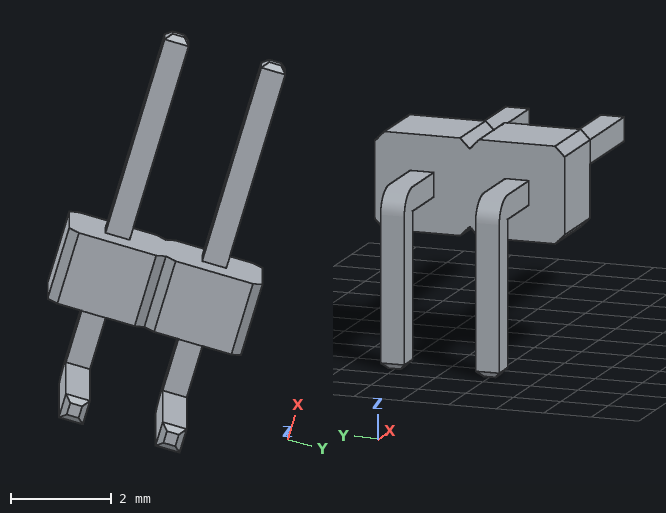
import cadquery as cq

total_length = 7.45
total_height = 4.4
total_width = 4.0

pin_count = 2
pitch = total_width / pin_count
housing_start = 1.735
housing_length = 1.5
housing_height = 2.0
cell_chamfer = 0.2

pin_size = 0.5
tip_chamfer = 0.13

leg_bottom = housing_height / 2 - total_height
pin_top = pin_size / 2
pin_bottom = -pin_size / 2


def housing_cell(y):
    """One octagonal housing cell with chamfers along its X edges."""
    return (
        cq.Workplane("XY")
        .box(housing_length, pitch, housing_height)
        .edges("|X")
        .chamfer(cell_chamfer)
        .translate((housing_start + housing_length / 2, y, 0))
    )


def bent_pin(y):
    """Right-angle pin, rounded outside the bend and tapered at both tips."""
    profile = (
        cq.Workplane("XZ")
        .moveTo(0, leg_bottom)
        .lineTo(0, pin_bottom)
        .radiusArc((pin_size, pin_top), pin_size)
        .lineTo(total_length, pin_top)
        .lineTo(total_length, pin_bottom)
        .lineTo(pin_size, pin_bottom)
        .lineTo(pin_size, leg_bottom)
        .close()
    )
    pin = profile.extrude(pin_size / 2, both=True)
    pin = pin.faces(">X").chamfer(tip_chamfer)
    pin = pin.faces("<Z").chamfer(tip_chamfer)
    return pin.translate((0, y, 0))


pin_positions = [(i - (pin_count - 1) / 2) * pitch for i in range(pin_count)]

result = cq.Workplane("XY")
for position in pin_positions:
    result = result.add(housing_cell(position)).add(bent_pin(position))
result = result.combine()